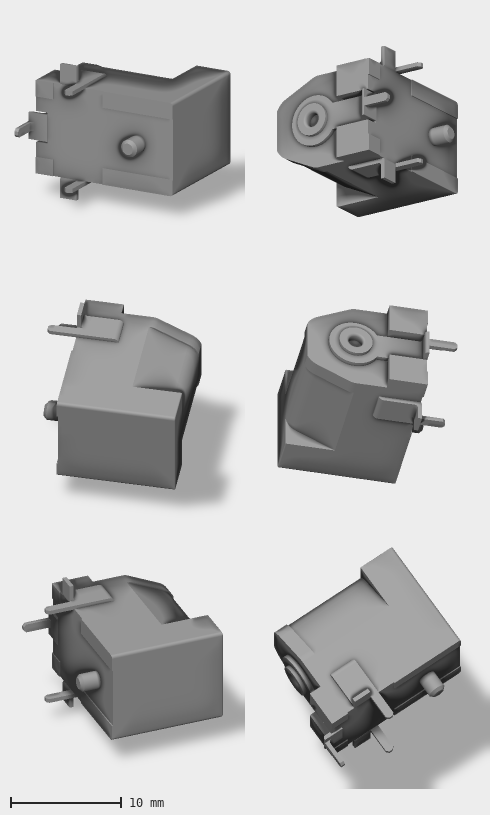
import cadquery as cq
import math


body_length = 12.97
body_height = 10.88
half_width = 4.43
back_edge_radius = 0.28
top_edge_radius = 0.112

plate_end = 1.34
barrel_end = 9.47
shoulder_angle = math.radians(25.6)
shoulder_center_y = 9.15
shoulder_center_z = 1.15
plate_shoulder_radius = 1.9
barrel_shoulder_radius = body_height - shoulder_center_y
plate_corner_radius = 1.27

block_depth = 1.18
block_height = 3.53
slot_half_width = 1.48

relief_depth = 0.1
relief_half_width = 2.88
relief_start = 0.6
relief_end = 5.71

axis_y = 6.56
disc_radius = 2.39
disc_front = -0.43
hub_radius = 1.52
hub_front = -0.8
bore_radius = 0.65
bore_lip_radius = 0.24

peg_x = 9.3
peg_radius = 0.82
peg_length = 1.79
peg_chamfer = 0.28

sheet = 0.39
pin_tip_y = -2.58
pin_width = 0.82
pin_chamfer = 0.24
bend_radius = 0.27

strip_half_width = 1.27
tab_front = -1.94
tab_thickness = 0.37

side_start = plate_end
side_end = 3.94
side_tab_end = 3.03
side_pin_start = side_end - pin_width
side_face = half_width + sheet
side_tab_tip = 6.35
side_top = 4.01
side_top_radius = 0.49
heel_width = 0.33
heel_rise = 0.09

overlap = 0.15


def block(x_range, y_range, z_range):
    """Rectangular block spanning the given ranges."""
    size = [high - low for low, high in (x_range, y_range, z_range)]
    corner = (x_range[0], y_range[0], z_range[0])
    return cq.Workplane("XY").box(*size, centered=False).translate(corner)


def section_plane(x):
    """Plane facing +X whose local axes are Y and Z."""
    return cq.Workplane(cq.Plane(origin=(x, 0, 0), xDir=(0, 1, 0), normal=(1, 0, 0)))


def both_sides(shape):
    """Shape on the +Z side together with its mirror image."""
    return shape.union(shape.mirror("XY"))


def shoulder_point(radius, angle):
    """Point (Y, Z) on the shoulder arc, with the angle measured from +Y."""
    y = shoulder_center_y + radius * math.cos(angle)
    z = shoulder_center_z + radius * math.sin(angle)
    return y, z


def shouldered_block(x_start, x_end, radius):
    """Housing stretch whose upper corners are an arc followed by a slope."""
    top_angle = math.acos((body_height - shoulder_center_y) / radius)
    tangent_angle = math.pi / 2 - shoulder_angle
    arc_top = shoulder_point(radius, top_angle)
    arc_mid = shoulder_point(radius, (top_angle + tangent_angle) / 2)
    arc_end = shoulder_point(radius, tangent_angle)
    slope_foot_y = arc_end[0] - (half_width - arc_end[1]) / math.tan(shoulder_angle)
    return (
        section_plane(x_start)
        .moveTo(0, -half_width)
        .lineTo(slope_foot_y, -half_width)
        .lineTo(arc_end[0], -arc_end[1])
        .threePointArc((arc_mid[0], -arc_mid[1]), (arc_top[0], -arc_top[1]))
        .lineTo(*arc_top)
        .threePointArc(arc_mid, arc_end)
        .lineTo(slope_foot_y, half_width)
        .lineTo(0, half_width)
        .close()
        .extrude(x_end - x_start)
    )


def slope_foot_edges(plate):
    """Edges along X where the plate's slopes meet its sides."""
    return plate.edges("|X and (<Z or >Z)").edges(cq.selectors.BoxSelector(
        (0, overlap, -half_width - overlap),
        (plate_end, body_height, half_width + overlap),
    ))


def make_housing():
    plate = shouldered_block(0, plate_end, plate_shoulder_radius)
    plate = slope_foot_edges(plate).fillet(plate_corner_radius)

    barrel = shouldered_block(plate_end, barrel_end, barrel_shoulder_radius)

    back = block((barrel_end, body_length), (0, body_height), (-half_width, half_width))
    back = back.edges("|Y and >X").fillet(back_edge_radius)
    back = back.edges(">Y and (not <X)").fillet(top_edge_radius)

    front_blocks = both_sides(
        block((-block_depth, 0), (0, block_height), (slot_half_width, half_width))
    )
    return plate.union(barrel).union(back).union(front_blocks)


def make_relief():
    along = block(
        (-block_depth, body_length),
        (0, relief_depth),
        (-relief_half_width, relief_half_width),
    )
    across = block((relief_start, relief_end), (0, relief_depth), (-half_width, half_width))
    return along.union(across)


def make_eyelet():
    """Stepped eyelet with a blind bore whose floor is the mouth plate."""
    disc = section_plane(disc_front).center(axis_y, 0).circle(disc_radius).extrude(-disc_front)
    hub = section_plane(hub_front).center(axis_y, 0).circle(hub_radius).extrude(-hub_front)
    bore = section_plane(hub_front).center(axis_y, 0).circle(bore_radius).extrude(-hub_front)
    eyelet = disc.union(hub).cut(bore)
    lip = cq.selectors.RadiusNthSelector(0)
    return eyelet.faces("<X").edges(lip).fillet(bore_lip_radius)


def make_peg():
    root_y = relief_depth + overlap
    peg_plane = cq.Plane(origin=(peg_x, root_y, 0), xDir=(1, 0, 0), normal=(0, -1, 0))
    peg = cq.Workplane(peg_plane).circle(peg_radius).extrude(peg_length + root_y)
    return peg.faces("<Y").chamfer(peg_chamfer)


def make_middle_terminal():
    """Strip down the slot, a tab bent forward and a pin bent down from the tab."""
    strip_top = axis_y - hub_radius
    strip_and_tab = (
        cq.Workplane("XY", origin=(0, 0, -strip_half_width))
        .polyline([
            (0, 0),
            (tab_front, 0),
            (tab_front, tab_thickness),
            (disc_front, tab_thickness),
            (disc_front, strip_top),
            (0, strip_top),
        ])
        .close()
        .extrude(2 * strip_half_width)
    )
    bend_edges = cq.selectors.BoxSelector(
        (tab_front - overlap, tab_thickness - overlap, -overlap),
        (disc_front + overlap, tab_thickness + overlap, overlap),
    )
    strip_and_tab = strip_and_tab.edges("|Z").edges(bend_edges).fillet(bend_radius)

    pin_back = tab_front + sheet
    pin = block((tab_front, pin_back), (pin_tip_y, 0), (-pin_width / 2, pin_width / 2))
    pin = pin.edges("|X and <Y").chamfer(pin_chamfer)
    root = (
        cq.Workplane("XY", origin=(0, 0, -pin_width / 2))
        .moveTo(pin_back, 0)
        .lineTo(pin_back + bend_radius, 0)
        .radiusArc((pin_back, -bend_radius), -bend_radius)
        .close()
        .extrude(pin_width)
    )
    return strip_and_tab.union(pin).union(root)


def make_side_terminal():
    """Terminal on the +Z side: a sheet on the wall, a pin and an outward tab."""
    arc_center_z = side_face - side_top_radius
    wall_angle = math.acos((half_width - arc_center_z) / side_top_radius)
    arc_start_y = side_top - side_top_radius * math.sin(wall_angle)
    arc_mid = (
        arc_start_y + side_top_radius * math.sin(wall_angle / 2),
        arc_center_z + side_top_radius * math.cos(wall_angle / 2),
    )
    plate = (
        section_plane(side_start)
        .moveTo(0, half_width)
        .lineTo(0, side_face)
        .lineTo(arc_start_y, side_face)
        .threePointArc(arc_mid, (side_top, half_width))
        .close()
        .extrude(side_end - side_start)
    )

    pin = block((side_pin_start, side_end), (pin_tip_y, 0), (half_width, side_face))
    pin = pin.edges("|Z and <Y").chamfer(pin_chamfer)

    tab = (
        section_plane(side_start)
        .moveTo(0, half_width)
        .lineTo(0, side_tab_tip)
        .lineTo(sheet, side_tab_tip)
        .lineTo(sheet, side_face + bend_radius)
        .radiusArc((sheet + bend_radius, side_face), -bend_radius)
        .lineTo(sheet + bend_radius, half_width)
        .close()
        .extrude(side_tab_end - side_start)
    )

    heel_radius = (heel_width**2 + heel_rise**2) / (2 * heel_rise)
    heel = (
        section_plane(side_start)
        .moveTo(0, half_width)
        .lineTo(heel_rise, half_width)
        .radiusArc((0, half_width + heel_width), heel_radius)
        .close()
        .extrude(side_pin_start - side_start)
    )
    return plate.union(tab).cut(heel).union(pin)


result = (
    make_housing()
    .cut(make_relief())
    .union(make_eyelet())
    .union(make_peg())
    .union(make_middle_terminal())
    .union(both_sides(make_side_terminal()))
)